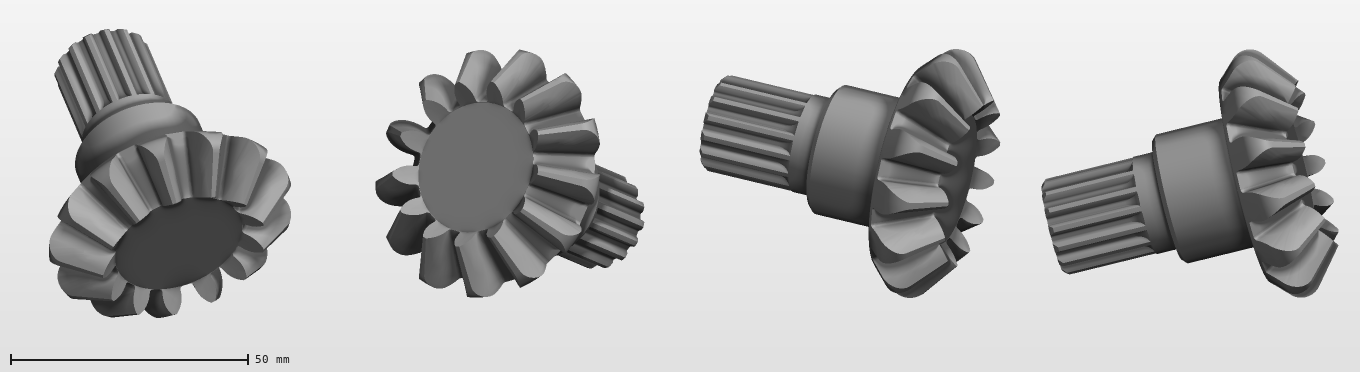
import cadquery as cq
import math


spline_teeth = 15
spline_outer_radius = 10.4
spline_root_radius = 8.76
spline_length = 20.15
groove_runout_length = 3.0
spline_chamfer = 1.0
groove_floor_half_width = 0.68
groove_mid_radius = 9.42
groove_mid_half_width = 0.97
groove_mouth_half_width = 1.82
groove_root_fillet = 0.4
groove_clearance = 1.0

collar_radius = 10.55
journal_start = 25.0
journal_radius = 14.0
journal_chamfer = 1.0
shoulder_fillet = 1.0

gear_back = 41.8
gear_front = 57.65
back_cone_base_radius = 21.8
rim_round = 1.0
back_cone_angle = math.radians(45)
face_cone_angle = math.radians(50.6)
tip_outer_radius = 26.84
tip_round = 4.0
hub_face = 53.67

gear_teeth = 13
apex = 72.1
root_ratio = 0.761
flank_end_ratio = 1.27
gap_peak_ratio = 1.35
flank_arc_centre_ratio = 0.914
flank_arc_radius_ratio = 0.651
tooth_half_width_ratio = 0.1209
root_fillet = 0.7
gap_far_distance = 33.0
gap_near_distance = 12.0

ROTATION_AXIS = (cq.Vector(0, 0, 0), cq.Vector(1, 0, 0))


def around_axis(cutter, count):
    """Copies of a cutter spaced evenly around the X axis."""
    return [cutter.rotate(*ROTATION_AXIS, i * 360 / count) for i in range(count)]


def quarter_arc_middle(centre_x, centre_r, radius, toward_x, toward_r):
    """Midpoint of a quarter arc, on the side given by the two signs."""
    offset = radius * math.sqrt(0.5)
    return centre_x + toward_x * offset, centre_r + toward_r * offset


def make_shaft():
    """Spline blank, collar and journal, with a concave fillet at each shoulder."""
    collar_fillet_start = journal_start - shoulder_fillet
    collar_fillet_radius = collar_radius + shoulder_fillet
    journal_fillet_start = gear_back - shoulder_fillet
    journal_fillet_radius = journal_radius + shoulder_fillet
    return (
        cq.Workplane("XY")
        .moveTo(0, 0)
        .lineTo(0, spline_outer_radius - spline_chamfer)
        .lineTo(spline_chamfer, spline_outer_radius)
        .lineTo(spline_length, spline_outer_radius)
        .lineTo(spline_length, collar_radius)
        .lineTo(collar_fillet_start, collar_radius)
        .threePointArc(
            quarter_arc_middle(collar_fillet_start, collar_fillet_radius, shoulder_fillet, 1, -1),
            (journal_start, collar_fillet_radius),
        )
        .lineTo(journal_start, journal_radius - journal_chamfer)
        .lineTo(journal_start + journal_chamfer, journal_radius)
        .lineTo(journal_fillet_start, journal_radius)
        .threePointArc(
            quarter_arc_middle(journal_fillet_start, journal_fillet_radius, shoulder_fillet, 1, -1),
            (gear_back, journal_fillet_radius),
        )
        .lineTo(gear_back, 0)
        .close()
        .revolve(360, (0, 0, 0), (1, 0, 0))
    )


def make_gear_blank():
    """Double cone with a rounded crest; the inner front cone runs parallel to the back cone."""
    rim_tangent_length = rim_round * math.tan(back_cone_angle / 2)
    rim_start_r = back_cone_base_radius - rim_tangent_length
    rim_mid_x = gear_back + rim_round * (1 - math.cos(back_cone_angle / 2))
    rim_mid_r = rim_start_r + rim_round * math.sin(back_cone_angle / 2)
    rim_end_x = gear_back + rim_round * (1 - math.cos(back_cone_angle))
    rim_end_r = rim_start_r + rim_round * math.sin(back_cone_angle)
    crest_centre_r = tip_outer_radius - tip_round
    back_tangent_r = crest_centre_r + tip_round * math.cos(back_cone_angle)
    back_tangent_x = gear_back + (back_tangent_r - back_cone_base_radius) / math.tan(back_cone_angle)
    crest_x = back_tangent_x + tip_round * math.sin(back_cone_angle)
    face_tangent_x = crest_x + tip_round * math.sin(face_cone_angle)
    face_tangent_r = crest_centre_r + tip_round * math.cos(face_cone_angle)
    front_r = face_tangent_r - (gear_front - face_tangent_x) * math.tan(face_cone_angle)
    hub_r = front_r - (gear_front - hub_face) / math.tan(back_cone_angle)
    return (
        cq.Workplane("XY")
        .moveTo(gear_back, 0)
        .lineTo(gear_back, rim_start_r)
        .threePointArc((rim_mid_x, rim_mid_r), (rim_end_x, rim_end_r))
        .lineTo(back_tangent_x, back_tangent_r)
        .threePointArc((crest_x, tip_outer_radius), (face_tangent_x, face_tangent_r))
        .lineTo(gear_front, front_r)
        .lineTo(hub_face, hub_r)
        .lineTo(hub_face, 0)
        .close()
        .revolve(360, (0, 0, 0), (1, 0, 0))
    )


def flank_point(ratio):
    """Point (y, z) on the flank beside the +Y gap, for a unit distance from the apex."""
    along = ratio - flank_arc_centre_ratio
    arc_drop = flank_arc_radius_ratio - math.sqrt(flank_arc_radius_ratio**2 - along**2)
    half_width = tooth_half_width_ratio - arc_drop
    tooth_angle = math.pi / gear_teeth
    y = ratio * math.cos(tooth_angle) + half_width * math.sin(tooth_angle)
    z = ratio * math.sin(tooth_angle) - half_width * math.cos(tooth_angle)
    return y, z


def gap_section(distance):
    """Closed outline of the gap, square to the axis, at a distance from the apex."""
    mid_ratio = (root_ratio + flank_end_ratio) / 2
    bottom, middle, top = [
        (distance * y, distance * z) for y, z in map(flank_point, (root_ratio, mid_ratio, flank_end_ratio))
    ]

    def mirrored(point):
        return point[0], -point[1]

    return (
        cq.Workplane("YZ", origin=(apex - distance, 0, 0))
        .moveTo(*mirrored(bottom))
        .lineTo(*bottom)
        .threePointArc(middle, top)
        .lineTo(distance * gap_peak_ratio, 0)
        .lineTo(*mirrored(top))
        .threePointArc(mirrored(middle), mirrored(bottom))
        .close()
        .wires()
        .val()
    )


def make_tooth_gap():
    """Tapered gap between two teeth, centred on +Y, with filleted root corners."""
    sections = [gap_section(gap_far_distance), gap_section(gap_near_distance)]
    gap = cq.Workplane("XY").newObject([cq.Solid.makeLoft(sections, True)])
    middle_distance = (gap_far_distance + gap_near_distance) / 2
    corner_y, corner_z = (middle_distance * value for value in flank_point(root_ratio))
    for side in (1, -1):
        corner = (apex - middle_distance, corner_y, side * corner_z)
        gap = gap.edges(cq.NearestToPointSelector(corner)).fillet(root_fillet)
    return gap.val()


def make_spline_groove():
    """Groove along +Y with arched flanks, whose floor curves up and out at its inner end."""
    depth = spline_outer_radius - spline_root_radius
    clear_radius = spline_outer_radius + groove_clearance
    clear_half_width = groove_mouth_half_width + groove_clearance
    groove = (
        cq.Workplane("YZ")
        .moveTo(spline_root_radius, -groove_floor_half_width)
        .lineTo(spline_root_radius, groove_floor_half_width)
        .threePointArc(
            (groove_mid_radius, groove_mid_half_width),
            (spline_outer_radius, groove_mouth_half_width),
        )
        .lineTo(clear_radius, clear_half_width)
        .lineTo(clear_radius, -clear_half_width)
        .lineTo(spline_outer_radius, -groove_mouth_half_width)
        .threePointArc(
            (groove_mid_radius, -groove_mid_half_width),
            (spline_root_radius, -groove_floor_half_width),
        )
        .close()
        .extrude(spline_length)
    )
    for side in (1, -1):
        corner = (spline_length / 2, spline_root_radius, side * groove_floor_half_width)
        groove = groove.edges(cq.NearestToPointSelector(corner)).fillet(groove_root_fillet)
    runout_start = spline_length - groove_runout_length
    runout_radius = (groove_runout_length**2 + depth**2) / (2 * depth)
    half_sweep = math.asin(groove_runout_length / runout_radius) / 2
    runout_mid = (
        runout_start + runout_radius * math.sin(half_sweep),
        spline_root_radius + runout_radius * (1 - math.cos(half_sweep)),
    )
    side_profile = (
        cq.Workplane("XY")
        .moveTo(0, spline_root_radius)
        .lineTo(runout_start, spline_root_radius)
        .threePointArc(runout_mid, (spline_length, spline_outer_radius))
        .lineTo(spline_length, clear_radius)
        .lineTo(0, clear_radius)
        .close()
        .extrude(clear_half_width, both=True)
    )
    return groove.intersect(side_profile).val()


def make_gear():
    gear = make_gear_blank().val()
    return cq.Workplane("XY").newObject([gear.cut(*around_axis(make_tooth_gap(), gear_teeth))])


def make_splined_shaft():
    shaft = make_shaft().val()
    return cq.Workplane("XY").newObject([shaft.cut(*around_axis(make_spline_groove(), spline_teeth))])


result = make_gear().union(make_splined_shaft())